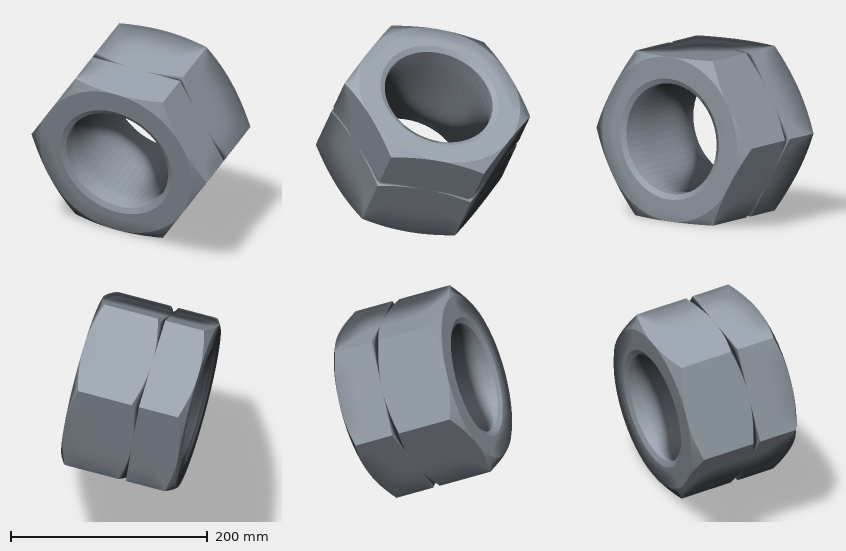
import cadquery as cq
import math

hexagon_sides = 6
across_corners = 196.3
across_flats = across_corners * math.cos(math.pi / hexagon_sides)
bore_diameter = 114.0
bore_mouth_diameter = 124.8
bore_chamfer_angle = 30.0
bore_chamfer_width = (bore_mouth_diameter - bore_diameter) / 2
bore_chamfer_depth = bore_chamfer_width * math.tan(math.radians(bore_chamfer_angle))
corner_bevel_angle = 30.0
corner_bevel_depth = (across_corners - across_flats) / 2 * math.tan(math.radians(corner_bevel_angle))

total_length = 120.5
jam_nut_thickness = 48.7
main_nut_thickness = total_length - jam_nut_thickness

collar_length = 25.0
collar_diameter = 137.5


def revolve_about_y(profile):
    """Turn a closed (radius, y) outline about the Y axis."""
    return cq.Workplane("XY").polyline(profile).close().revolve(360, (0, 0, 0), (0, 1, 0))


def hexagon_prism(start, end):
    """Hexagonal bar along Y with two corners on the X axis."""
    return (
        cq.Workplane("XZ", origin=(0, start, 0))
        .polygon(hexagon_sides, across_corners)
        .extrude(start - end)
    )


def bevel_envelope(start, end, bevel_back):
    """Round body whose cones bevel the hexagon corners at the front and, if asked, at the back."""
    flat_radius = across_flats / 2
    corner_radius = across_corners / 2
    profile = [(0, start), (flat_radius, start), (corner_radius, start + corner_bevel_depth)]
    if bevel_back:
        profile += [(corner_radius, end - corner_bevel_depth), (flat_radius, end)]
    else:
        profile += [(corner_radius, end)]
    profile += [(0, end)]
    return revolve_about_y(profile)


def chamfered_bore(start, end):
    """Through bore that widens to a shallow chamfer at its front and back mouths."""
    bore_radius = bore_diameter / 2
    mouth_radius = bore_mouth_diameter / 2
    return revolve_about_y([
        (0, start),
        (mouth_radius, start),
        (bore_radius, start + bore_chamfer_depth),
        (bore_radius, end - bore_chamfer_depth),
        (mouth_radius, end),
        (0, end),
    ])


def hex_blank(start, thickness, bevel_back):
    """Solid hexagon with beveled corners whose front face lies at y = start."""
    end = start + thickness
    return hexagon_prism(start, end).intersect(bevel_envelope(start, end, bevel_back))


def collar_cylinder():
    """Solid cylinder that fills the collar's outer shape, behind the jam nut."""
    return (
        cq.Workplane("XZ", origin=(0, jam_nut_thickness, 0))
        .circle(collar_diameter / 2)
        .extrude(-collar_length)
    )


def make_jam_nut(bore):
    """Thin nut, flat at its back, with the collar standing on that flat."""
    return hex_blank(0, jam_nut_thickness, bevel_back=False).union(collar_cylinder()).cut(bore)


def make_main_nut(bore):
    """Thick nut, beveled on both faces, counterbored to take the collar."""
    blank = hex_blank(jam_nut_thickness, main_nut_thickness, bevel_back=True)
    return blank.cut(collar_cylinder()).cut(bore)


bore = chamfered_bore(0, total_length)
jam_nut = make_jam_nut(bore)
main_nut = make_main_nut(bore)

result = cq.Compound.makeCompound([jam_nut.val(), main_nut.val()])